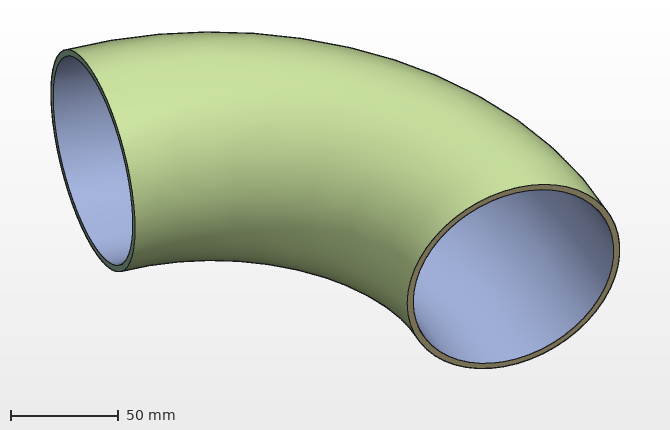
import cadquery as cq

overall_size = 203.0
outer_diameter = 106.0
wall_thickness = 3.0
bend_angle = 90.0

outer_radius = outer_diameter / 2
inner_radius = outer_radius - wall_thickness
bend_radius = overall_size - outer_radius

pipe_section = (
    cq.Workplane("XZ")
    .center(-bend_radius, 0)
    .circle(outer_radius)
    .circle(inner_radius)
)

axis_start = (bend_radius, 0)
axis_end = (bend_radius, -1)
result = pipe_section.revolve(bend_angle, axis_start, axis_end)